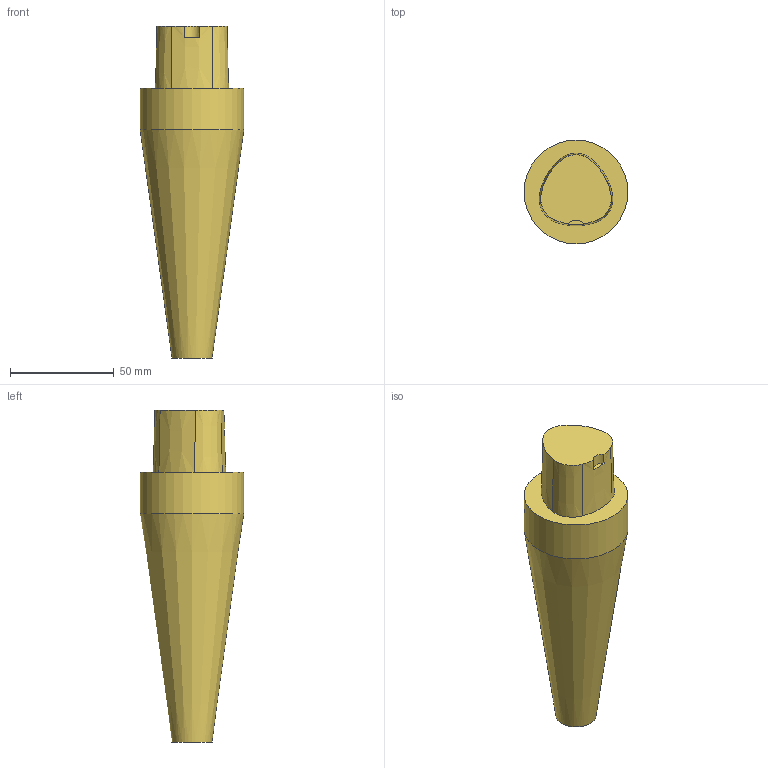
import cadquery as cq
import math

flange_diameter = 50.0
flange_length = 20.0
bar_length = 110.0
tip_diameter = 19.3

shank_length = 30.0
lobe_count = 3
lobe_reach = 18.65
flank_reach = 16.35
flank_radius = 28.5
taper_inset = 0.75

notch_width = 7.4
notch_depth = 2.0
notch_height = 5.4


def polar(radius, degrees):
    angle = math.radians(degrees)
    return (radius * math.cos(angle), radius * math.sin(angle))


def lobed_outline(inset, height):
    """Closed outline of tangent lobe and flank arcs, offset inward by inset."""
    flank_offset = flank_radius - flank_reach
    centre_gap = flank_radius - lobe_reach
    lobe_offset = (flank_offset**2 - centre_gap**2) / (2 * centre_gap - flank_offset)

    step = 360.0 / lobe_count
    half_step = step / 2
    lobe_centre = polar(lobe_offset, 0)
    flank_centre = polar(flank_offset, half_step + 180)
    tangent_angle = math.atan2(lobe_centre[1] - flank_centre[1], lobe_centre[0] - flank_centre[0])
    radius = flank_radius - inset
    joint_x = flank_centre[0] + radius * math.cos(tangent_angle)
    joint_y = flank_centre[1] + radius * math.sin(tangent_angle)
    joint_radius = math.hypot(joint_x, joint_y)
    joint_angle = math.degrees(math.atan2(joint_y, joint_x))

    first_lobe = 90.0
    outline = cq.Workplane("XY").workplane(offset=height)
    outline = outline.moveTo(*polar(joint_radius, first_lobe - joint_angle))
    for index in range(lobe_count):
        lobe = first_lobe + index * step
        outline = outline.threePointArc(
            polar(lobe_reach - inset, lobe),
            polar(joint_radius, lobe + joint_angle),
        )
        outline = outline.threePointArc(
            polar(flank_reach - inset, lobe + half_step),
            polar(joint_radius, lobe + step - joint_angle),
        )
    return outline.wire().val()


def make_shank():
    base = lobed_outline(0.0, 0.0)
    end = lobed_outline(taper_inset, shank_length)
    return cq.Workplane(cq.Solid.makeLoft([base, end], True))


def make_body():
    """Cylindrical flange with the tapered bar below it."""
    flange_radius = flange_diameter / 2
    return (
        cq.Workplane("XZ")
        .lineTo(flange_radius, 0)
        .lineTo(flange_radius, -flange_length)
        .lineTo(tip_diameter / 2, -flange_length - bar_length)
        .lineTo(0, -flange_length - bar_length)
        .close()
        .revolve(360, (0, 0, 0), (0, 1, 0))
    )


def make_notch():
    """Round-bottomed cutter whose arc meets the shank end at notch_width."""
    cutter_radius = ((notch_width / 2) ** 2 + notch_depth**2) / (2 * notch_depth)
    cutter_y = -(flank_reach - taper_inset) + notch_depth - cutter_radius
    return (
        cq.Workplane("XY")
        .workplane(offset=shank_length - notch_height)
        .center(0, cutter_y)
        .circle(cutter_radius)
        .extrude(notch_height)
    )


result = make_body().union(make_shank()).cut(make_notch())